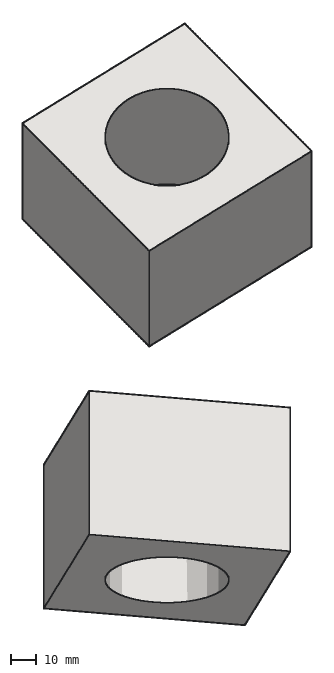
import cadquery as cq

side = 80
height = 60
bore_diameter = 48

block = cq.Workplane("XY").box(side, side, height)
result = block.faces(">Z").workplane().hole(bore_diameter)